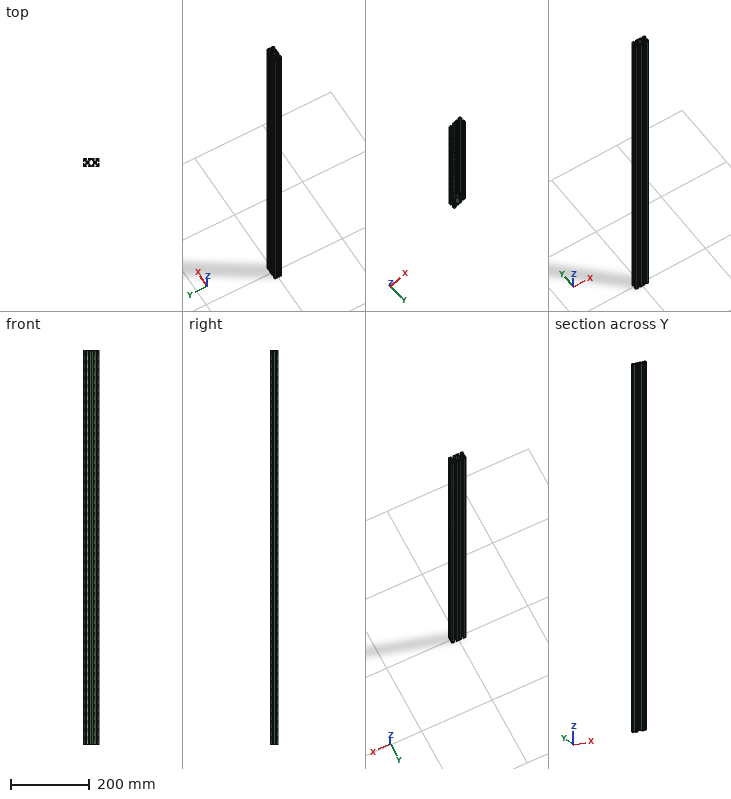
import cadquery as cq
import math

length = 1000.0
cell = 20.0
corner_radius = 2.0
slot_width = 5.0
lip = 1.8
pocket_width = 11.5
slot_depth = 6.3
web = 1.5
wall = 1.8
bore_diameter = 4.3

width = 2 * cell
half = cell / 2
core_half = half - slot_depth
web_offset = web / 2 * math.sqrt(2)
left_cell = -half
right_cell = half


def extrude_outline(points):
    """Full-length prism over a closed XY outline."""
    return cq.Workplane("XY").polyline(points).close().extrude(length)


def body():
    """Solid bar with rounded long edges."""
    bar = cq.Workplane("XY").rect(width, cell).extrude(length)
    return bar.edges("|Z").fillet(corner_radius)


def slot(cell_x, angle):
    """T-slot cutter for one face of a cell; angle 0 is the +Y face."""
    lip_y = half - lip
    throat_x = slot_width / 2
    pocket_x = pocket_width / 2
    right_side = [
        (throat_x, half),
        (throat_x, lip_y),
        (pocket_x, lip_y),
        (pocket_x, pocket_x + web_offset),
        (core_half - web_offset, core_half),
    ]
    left_side = [(-x, y) for x, y in reversed(right_side)]
    cutter = extrude_outline(right_side + left_side)
    return cutter.rotate((0, 0, 0), (0, 0, 1), angle).translate((cell_x, 0, 0))


def central_cavity():
    """Eight-sided hollow between the cells, bounded by walls, webs and cores."""
    roof_y = half - wall
    upper_right = [
        (half - core_half, core_half - web_offset),
        (half - web_offset - roof_y, roof_y),
    ]
    upper = upper_right + [(-x, y) for x, y in reversed(upper_right)]
    lower = [(-x, -y) for x, y in upper]
    return extrude_outline(upper + lower)


def bores():
    """Core holes along the cell centres."""
    centres = [(left_cell, 0), (right_cell, 0)]
    return cq.Workplane("XY").pushPoints(centres).circle(bore_diameter / 2).extrude(length)


slot_faces = (
    (left_cell, 0),
    (left_cell, 90),
    (left_cell, 180),
    (right_cell, 0),
    (right_cell, -90),
    (right_cell, 180),
)

result = body()
for cell_x, angle in slot_faces:
    result = result.cut(slot(cell_x, angle))
result = result.cut(central_cavity())
result = result.cut(bores())